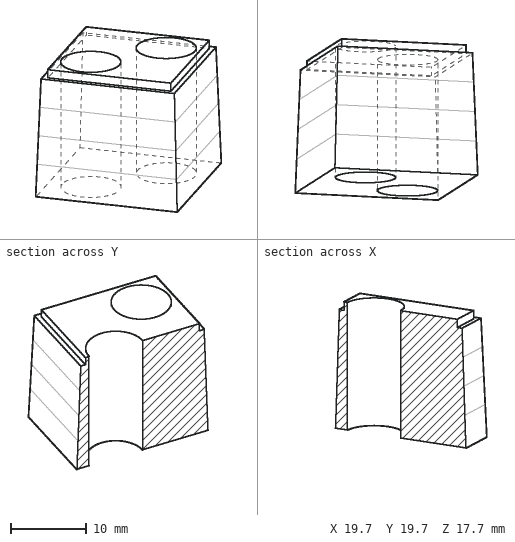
import cadquery as cq

base_width = 19.71
shoulder_width = 18.57
shoulder_height = 16.55

first_band_height = 4.61
band_pitch = 4.0
upper_band_count = 2

total_height = 17.7
platform_width = 17.15

hole_diameter = 8.0
hole_offset = hole_diameter / 2


def body_width(height):
    """Width of the tapered body at a given height."""
    return base_width + (shoulder_width - base_width) * height / shoulder_height


def square_wire(height):
    """Centred square outline of the body at a given height."""
    width = body_width(height)
    return cq.Workplane("XY").workplane(offset=height).rect(width, width).wires().val()


band_heights = [first_band_height + i * band_pitch for i in range(upper_band_count + 1)]
section_heights = [0.0, *band_heights, shoulder_height]

body = cq.Workplane(cq.Solid.makeLoft([square_wire(height) for height in section_heights], True))

platform = (
    cq.Workplane("XY")
    .workplane(offset=shoulder_height)
    .rect(platform_width, platform_width)
    .extrude(total_height - shoulder_height)
)

holes = (
    cq.Workplane("XY")
    .pushPoints([(-hole_offset, -hole_offset), (hole_offset, hole_offset)])
    .circle(hole_diameter / 2)
    .extrude(total_height)
)

result = body.union(platform, clean=False).cut(holes, clean=False)